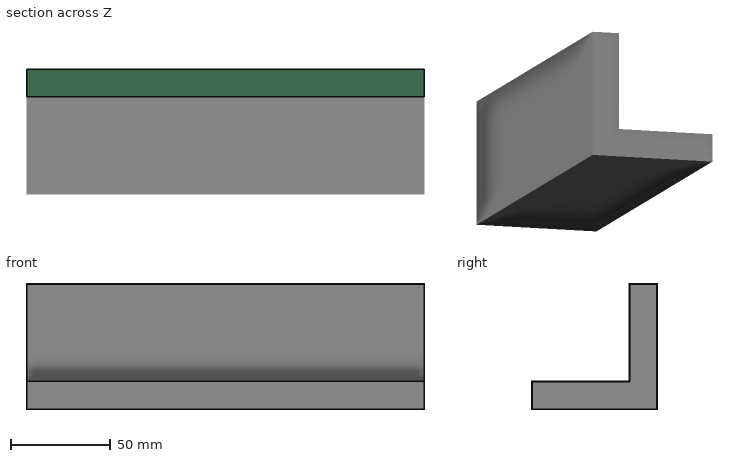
import cadquery as cq

length = 200
leg = 63.0
thickness = 14

front = -leg / 2
back = leg / 2
bottom = -leg / 2
top = leg / 2

profile = [
    (front, bottom),
    (back, bottom),
    (back, top),
    (back - thickness, top),
    (back - thickness, bottom + thickness),
    (front, bottom + thickness),
]

result = cq.Workplane("YZ").polyline(profile).close().extrude(length / 2, both=True)